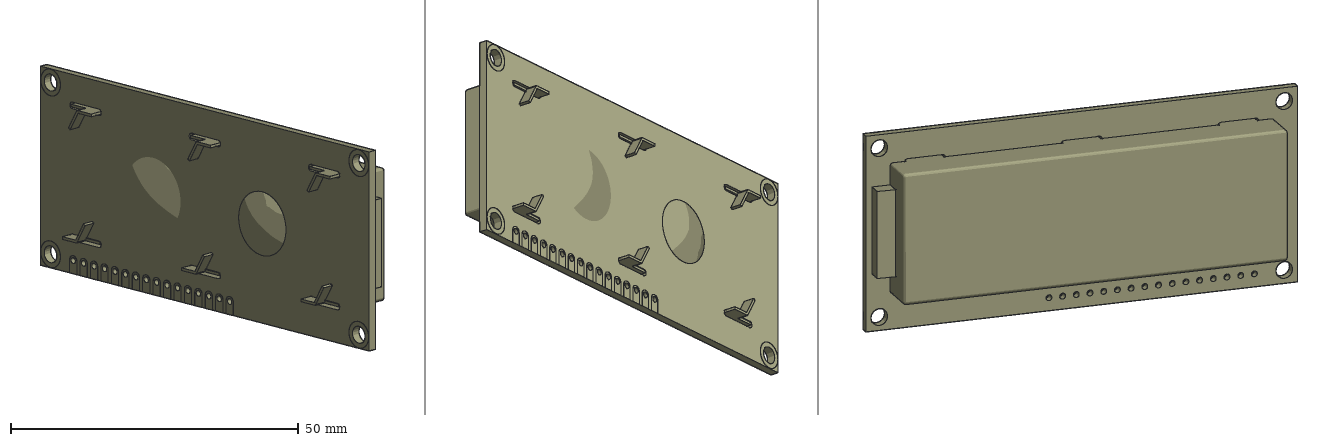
import cadquery as cq


BOARD_LENGTH = 80.0
BOARD_HEIGHT = 36.0
BOARD_THICKNESS = 1.6
PAD_THICKNESS = 0.04

MOUNT_INSET = 2.5
MOUNT_HOLE_DIAMETER = 3.0
MOUNT_PAD_DIAMETER = 4.8

PIN_COUNT = 16
PIN_ROW_LENGTH = 38.1
FIRST_PIN_INSET = 8.0
PIN_EDGE_DISTANCE = 2.4
PIN_PITCH = PIN_ROW_LENGTH / (PIN_COUNT - 1)
PIN_HOLE_DIAMETER = 1.0
PIN_PAD_WIDTH = 1.8

DOME_HEIGHT = 1.2
DOMES = [(-12.6, 6.7), (14.0, 5.8)]

BEZEL_LENGTH = 71.2
BEZEL_HEIGHT = 24.0
BEZEL_DEPTH = 7.0
BEZEL_CENTER_X = -0.1
BEZEL_CENTER_Z = 0.6
BEZEL_FILLET = 0.6
SHEET_THICKNESS = 0.5

TAB_PITCH = 29.0
TAB_WIDTH = 7.0
TAB_PROTRUSION = 2.2
TWISTED_LENGTH = 4.0
TWIST_ANGLE = 60.0
TWIST_OFFSET = 0.2
SLOT_LENGTH = 7.6
SLOT_WIDTH = 1.2
SLOT_SPACING_Z = 23.8
SLOT_CENTER_Z = 0.5

LUG_END_X = 38.9
LUG_HEIGHT = 16.0
LUG_DEPTH = 2.9
LUG_END_DEPTH = 2.6

CAVITY_LENGTH = BEZEL_LENGTH - 2 * SHEET_THICKNESS
CAVITY_HEIGHT = BEZEL_HEIGHT - 2 * SHEET_THICKNESS
CAVITY_DEPTH = BEZEL_DEPTH - SHEET_THICKNESS
CAVITY_END_X = BEZEL_CENTER_X + CAVITY_LENGTH / 2
TAB_OFFSET_Z = (BEZEL_HEIGHT - SHEET_THICKNESS) / 2

TAB_CENTERS = [
    (column * TAB_PITCH, BEZEL_CENTER_Z + side * TAB_OFFSET_Z)
    for column in (-1, 0, 1)
    for side in (-1, 1)
]
SLOT_CENTERS = [
    (column * TAB_PITCH, SLOT_CENTER_Z + side * SLOT_SPACING_Z / 2)
    for column in (-1, 0, 1)
    for side in (-1, 1)
]
MOUNT_CENTERS = [
    (x_side * (BOARD_LENGTH / 2 - MOUNT_INSET), z_side * (BOARD_HEIGHT / 2 - MOUNT_INSET))
    for x_side in (-1, 1)
    for z_side in (-1, 1)
]
PIN_Z = PIN_EDGE_DISTANCE - BOARD_HEIGHT / 2
PIN_CENTERS = [
    (FIRST_PIN_INSET - BOARD_LENGTH / 2 + index * PIN_PITCH, PIN_Z)
    for index in range(PIN_COUNT)
]


def rear_facing(y):
    """Sketch plane at the given Y: local axes run along +X and +Z, extrusion goes toward -Y."""
    return cq.Workplane("XZ", origin=(0, y, 0))


def block(length, height, y_start, y_end, center_x=0.0, center_z=0.0):
    """Box between two Y positions, centred on a point in X and Z."""
    return (
        rear_facing(y_end)
        .center(center_x, center_z)
        .rect(length, height)
        .extrude(y_end - y_start)
    )


def make_dome(center_x, radius):
    """Spherical cap standing on the board's rear face."""
    cap = (
        cq.Workplane("XY")
        .moveTo(0, 0)
        .lineTo(radius, 0)
        .radiusArc((0, -DOME_HEIGHT), (radius**2 + DOME_HEIGHT**2) / (2 * DOME_HEIGHT))
        .close()
        .revolve(360, (0, 0), (0, 1))
    )
    return cap.translate((center_x, 0, 0))


def make_pads():
    """Thin copper pads on the rear face: rings at the corners, fingers along the lower edge."""
    rings = rear_facing(0).pushPoints(MOUNT_CENTERS).circle(MOUNT_PAD_DIAMETER / 2).extrude(PAD_THICKNESS)
    finger_ends = rear_facing(0).pushPoints(PIN_CENTERS).circle(PIN_PAD_WIDTH / 2).extrude(PAD_THICKNESS)
    finger_centers = [(x, z - PIN_EDGE_DISTANCE / 2) for x, z in PIN_CENTERS]
    fingers = (
        rear_facing(0)
        .pushPoints(finger_centers)
        .rect(PIN_PAD_WIDTH, PIN_EDGE_DISTANCE)
        .extrude(PAD_THICKNESS)
    )
    return rings.union(fingers).union(finger_ends)


def make_board():
    """Board with its pads and domes, drilled for mounting and pins and slotted for the tabs."""
    board = block(BOARD_LENGTH, BOARD_HEIGHT, 0, BOARD_THICKNESS).union(make_pads())
    for center_x, radius in DOMES:
        board = board.union(make_dome(center_x, radius))

    cut_depth = BOARD_THICKNESS + PAD_THICKNESS
    start = rear_facing(BOARD_THICKNESS)
    mount_holes = start.pushPoints(MOUNT_CENTERS).circle(MOUNT_HOLE_DIAMETER / 2).extrude(cut_depth)
    pin_holes = start.pushPoints(PIN_CENTERS).circle(PIN_HOLE_DIAMETER / 2).extrude(cut_depth)
    tab_slots = start.pushPoints(SLOT_CENTERS).slot2D(SLOT_LENGTH, SLOT_WIDTH).extrude(cut_depth)
    return board.cut(mount_holes).cut(pin_holes).cut(tab_slots)


def make_tab(center_x, center_z):
    """Tab through the board; behind it, one half stays straight and the other is twisted inward."""
    inward = -1 if center_z > BEZEL_CENTER_Z else 1
    stem = block(TAB_WIDTH, SHEET_THICKNESS, 0, BOARD_THICKNESS)
    straight_half = block(
        TAB_WIDTH / 2, SHEET_THICKNESS, -TAB_PROTRUSION, 0, center_x=-inward * TAB_WIDTH / 4
    )
    twisted_half = block(
        TWISTED_LENGTH, SHEET_THICKNESS, -TAB_PROTRUSION, 0, center_x=inward * TWISTED_LENGTH / 2
    ).rotate((0, 0, 0), (0, -1, 0), TWIST_ANGLE)
    twisted_half = twisted_half.translate((-inward * TWIST_OFFSET, 0, 0))
    return stem.union(straight_half).union(twisted_half).translate((center_x, 0, center_z))


def make_lug():
    """Backlight lug resting on the board, its front face sloping down toward +X."""
    return (
        cq.Workplane("XY", origin=(0, 0, BEZEL_CENTER_Z))
        .moveTo(CAVITY_END_X, BOARD_THICKNESS)
        .lineTo(LUG_END_X, BOARD_THICKNESS)
        .lineTo(LUG_END_X, BOARD_THICKNESS + LUG_END_DEPTH)
        .lineTo(CAVITY_END_X, BOARD_THICKNESS + LUG_DEPTH)
        .close()
        .extrude(LUG_HEIGHT / 2, both=True)
    )


def make_display_core():
    """Block that fills the inside of the bezel."""
    return block(
        CAVITY_LENGTH,
        CAVITY_HEIGHT,
        BOARD_THICKNESS,
        BOARD_THICKNESS + CAVITY_DEPTH,
        BEZEL_CENTER_X,
        BEZEL_CENTER_Z,
    )


def make_bezel():
    """Rounded sheet-metal cover, open toward the board, with a lug opening and six tabs."""
    cover = block(
        BEZEL_LENGTH,
        BEZEL_HEIGHT,
        BOARD_THICKNESS,
        BOARD_THICKNESS + BEZEL_DEPTH,
        BEZEL_CENTER_X,
        BEZEL_CENTER_Z,
    )
    cover = cover.edges("|Y or >Y").fillet(BEZEL_FILLET)
    cover = cover.cut(make_display_core()).cut(make_lug())
    for center_x, center_z in TAB_CENTERS:
        cover = cover.union(make_tab(center_x, center_z))
    return cover


board = make_board()
bezel = make_bezel()
display = make_display_core().union(make_lug())

result = cq.Compound.makeCompound(
    [board.solids().val(), bezel.solids().val(), display.solids().val()]
)